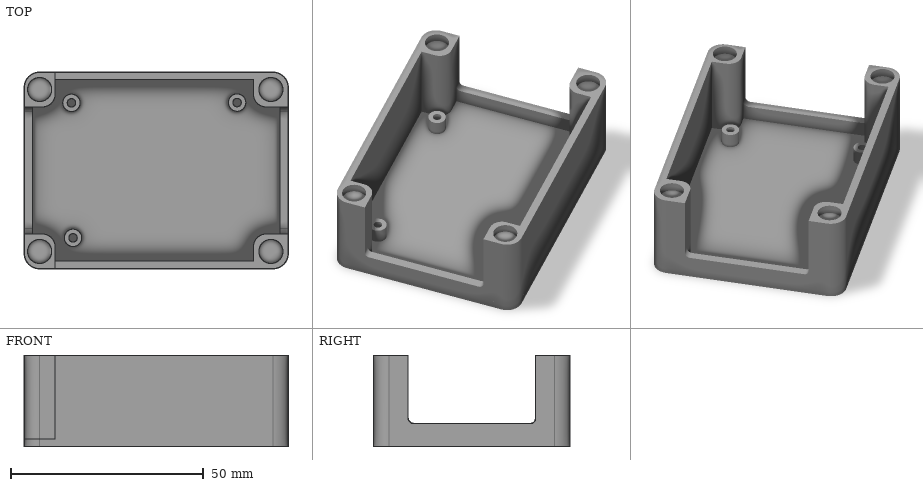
import cadquery as cq

LENGTH = 68.5
WIDTH = 51.0
HEIGHT = 23.6
CORNER_RADIUS = 4.05

FLOOR = 2.0
SIDE_WALL = 2.0
END_WALL = 2.2
SILL_HEIGHT = 6.0
FRONT_SILL_FILLET = 1.45
BACK_SILL_FILLET = 1.15

POST_WIDTH = 9.05
LOOSE_POST_LENGTH = 8.0
FIXED_POST_LENGTH = 9.05
POST_INNER_RADIUS = 3.3
POST_HEIGHT = HEIGHT - FLOOR
RECESS_DIAMETER = 6.2
RECESS_DEPTH = 2.3

STANDOFF_DIAMETER = 4.5
STANDOFF_BORE = 2.2
STANDOFF_HEIGHT = 4.0
STANDOFF_CENTRES = [(-22.0, 17.55), (20.95, 17.6), (-21.6, -17.5)]

OPENING_WIDTH = WIDTH - 2 * POST_WIDTH


def make_post(x_side, y_side, length):
    """Corner post standing on the floor, with a round recess in its top."""
    x_centre = x_side * (LENGTH - length) / 2
    y_centre = y_side * (WIDTH - POST_WIDTH) / 2
    outer_edge = cq.selectors.NearestToPointSelector((x_side * LENGTH, y_side * WIDTH, HEIGHT / 2))
    inner_edge = cq.selectors.NearestToPointSelector((0, 0, HEIGHT / 2))
    block = (
        cq.Workplane("XY", origin=(x_centre, y_centre, FLOOR))
        .rect(length, POST_WIDTH)
        .extrude(POST_HEIGHT)
    )
    block = block.edges("|Z").edges(outer_edge).fillet(CORNER_RADIUS)
    block = block.edges("|Z").edges(inner_edge).fillet(POST_INNER_RADIUS)
    recess = (
        cq.Workplane("XY", origin=(x_centre, y_centre, HEIGHT))
        .circle(RECESS_DIAMETER / 2)
        .extrude(-RECESS_DEPTH)
    )
    return block.cut(recess)


def make_end_opening():
    """Opening through both ends above the sills, with eased lower corners."""
    opening = (
        cq.Workplane("XY", origin=(0, 0, SILL_HEIGHT))
        .rect(LENGTH, OPENING_WIDTH)
        .extrude(HEIGHT - SILL_HEIGHT)
    )
    opening = opening.faces("<Z").edges(">Y").fillet(BACK_SILL_FILLET)
    return opening.faces("<Z").edges("<Y").fillet(FRONT_SILL_FILLET)


def make_shell():
    """Open-topped box with low sills at both ends."""
    box = cq.Workplane("XY").rect(LENGTH, WIDTH).extrude(HEIGHT).edges("|Z").fillet(CORNER_RADIUS)
    cavity = (
        cq.Workplane("XY", origin=(0, 0, FLOOR))
        .rect(LENGTH - 2 * END_WALL, WIDTH - 2 * SIDE_WALL)
        .extrude(POST_HEIGHT)
    )
    return box.cut(cavity).cut(make_end_opening())


def make_standoffs():
    """Hollow round standoffs standing on the floor."""
    return (
        cq.Workplane("XY", origin=(0, 0, FLOOR))
        .pushPoints(STANDOFF_CENTRES)
        .circle(STANDOFF_DIAMETER / 2)
        .circle(STANDOFF_BORE / 2)
        .extrude(STANDOFF_HEIGHT)
    )


def make_post_space(x_side, y_side, length):
    """Square-cornered space above the floor that a post takes up in the shell."""
    return (
        cq.Workplane("XY", origin=(x_side * LENGTH / 2, y_side * WIDTH / 2, FLOOR))
        .rect(2 * length, 2 * POST_WIDTH)
        .extrude(POST_HEIGHT)
    )


def make_tray():
    """Shell with standoffs and +X posts, cleared at the -X corners for the loose posts."""
    tray = make_shell().union(make_standoffs())
    for y_side in (-1, 1):
        tray = tray.cut(make_post_space(-1, y_side, LOOSE_POST_LENGTH))
        tray = tray.cut(make_post_space(1, y_side, FIXED_POST_LENGTH))
        tray = tray.union(make_post(1, y_side, FIXED_POST_LENGTH))
    return tray


tray = make_tray()
loose_posts = [make_post(-1, y_side, LOOSE_POST_LENGTH) for y_side in (-1, 1)]

result = cq.Compound.makeCompound([tray.solids().val(), *[post.solids().val() for post in loose_posts]])